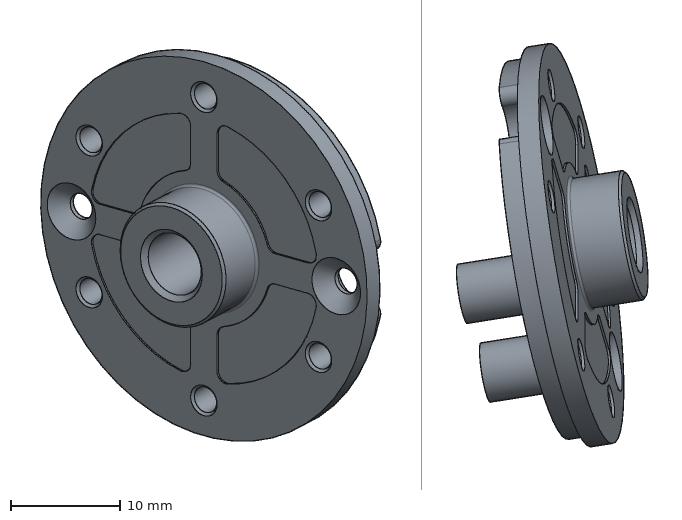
import cadquery as cq
import math

flange_radius = 18.5
flange_thickness = 2.0
spigot_radius = 17.5
spigot_thickness = 2.0
spigot_back = flange_thickness + spigot_thickness

hub_radius = 6.0
hub_length = 5.0
hub_edge_chamfer = 0.25
hub_root_fillet = 0.25
bore_radius = 3.0
bore_chamfer = 0.5

pitch_radius = 15.0
hole_radius = 1.25
hole_chamfer = 0.25
plain_hole_angles = (30, 90, 150, 210, 270, 330)
countersink_angles = (0, 180)
countersink_radius = 2.75
countersink_depth = countersink_radius - hole_radius

notch_radius = 2.75
notch_corner_fillet = 1.0

pocket_inner_radius = 7.5
pocket_outer_radius = 13.0
pocket_depth = 0.2
pocket_corner_radius = 1.0
quadrant_angles = (0, 90, 180, 270)
rib_width = 3.0

pin_radius = 2.75
pin_length = 6.0
pin_spacing = 10.0
pin_z = -9.8


def cylinder(radius, y_start, length, x=0.0, z=0.0):
    """Cylinder along +Y starting at y_start."""
    start = cq.Vector(x, y_start, z)
    return cq.Workplane(cq.Solid.makeCylinder(radius, length, start, cq.Vector(0, 1, 0)))


def countersink_cone(mouth_radius, y_mouth, depth, x=0.0, z=0.0):
    """45 degree cone, widest at y_mouth and narrowing toward +Y."""
    mouth = cq.Vector(x, y_mouth, z)
    tip_radius = mouth_radius - depth
    return cq.Workplane(cq.Solid.makeCone(mouth_radius, tip_radius, depth, mouth, cq.Vector(0, 1, 0)))


def on_pitch_circle(angle):
    """X and Z of a point on the fixing hole pitch circle."""
    radians = math.radians(angle)
    return pitch_radius * math.cos(radians), pitch_radius * math.sin(radians)


def make_spigot():
    """Rear step with a rounded relief notch behind each countersunk hole."""
    spigot = cylinder(spigot_radius, flange_thickness, spigot_thickness)
    for angle in countersink_angles:
        x, z = on_pitch_circle(angle)
        spigot = spigot.cut(cylinder(notch_radius, flange_thickness, spigot_thickness, x, z))
    reach = notch_radius + notch_corner_fillet
    notch_corners = cq.selectors.BoxSelector(
        (-spigot_radius, flange_thickness, -reach),
        (spigot_radius, spigot_back, reach),
    )
    return spigot.edges("|Y").edges(notch_corners).fillet(notch_corner_fillet)


def make_body():
    """Flange, spigot and hub, with the hub edges finished."""
    flange = cylinder(flange_radius, 0, flange_thickness)
    hub = cylinder(hub_radius, -hub_length, hub_length).faces("<Y").chamfer(hub_edge_chamfer)
    front = flange.union(hub)
    flange_face = front.faces(cq.selectors.NearestToPointSelector((pitch_radius, 0, 0)))
    hub_root = flange_face.edges(cq.selectors.RadiusNthSelector(0))
    return hub_root.fillet(hub_root_fillet).union(make_spigot())


def make_pocket():
    """Pocket of the +X +Z quadrant: a ring sector bounded by the straight ribs."""
    ring = cylinder(pocket_outer_radius, 0, pocket_depth).cut(
        cylinder(pocket_inner_radius, 0, pocket_depth)
    )
    size = pocket_outer_radius
    quadrant = cq.Workplane("XY").box(size, pocket_depth, size, centered=False)
    quadrant = quadrant.translate((rib_width / 2, 0, rib_width / 2))
    return ring.intersect(quadrant).edges("|Y").fillet(pocket_corner_radius)


def cut_pockets(body):
    """Sink the four quadrant pockets into the front face."""
    pocket = make_pocket()
    for angle in quadrant_angles:
        body = body.cut(pocket.rotate((0, 0, 0), (0, 1, 0), angle))
    return body


def cut_bore(body):
    """Through bore, chamfered at the free end of the hub."""
    bore = cylinder(bore_radius, -hub_length, hub_length + spigot_back)
    mouth = countersink_cone(bore_radius + bore_chamfer, -hub_length, bore_chamfer)
    return body.cut(bore).cut(mouth)


def cut_fixing_hole(body, angle, mouth_radius, mouth_depth):
    """Through hole on the pitch circle with a conical mouth in the front face."""
    x, z = on_pitch_circle(angle)
    body = body.cut(cylinder(hole_radius, 0, spigot_back, x, z))
    return body.cut(countersink_cone(mouth_radius, 0, mouth_depth, x, z))


def add_pins(body):
    """Two drive pins standing on the back of the spigot."""
    for x in (-pin_spacing / 2, pin_spacing / 2):
        body = body.union(cylinder(pin_radius, spigot_back, pin_length, x, pin_z))
    return body


part = cut_bore(cut_pockets(make_body()))
for hole_angle in plain_hole_angles:
    part = cut_fixing_hole(part, hole_angle, hole_radius + hole_chamfer, hole_chamfer)
for hole_angle in countersink_angles:
    part = cut_fixing_hole(part, hole_angle, countersink_radius, countersink_depth)
result = add_pins(part)